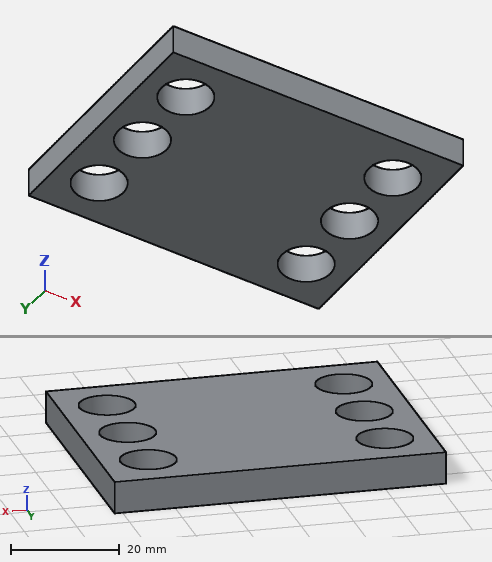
import cadquery as cq

length = 63.0
width = 50.0
thickness = 6.2

hole_diameter = 10.5
column_count = 2
row_count = 3
column_spacing = 45.0
row_spacing = 15.0

plate = cq.Workplane("XY").box(length, width, thickness)

result = (
    plate.faces(">Z")
    .workplane()
    .rarray(column_spacing, row_spacing, column_count, row_count)
    .hole(hole_diameter)
)